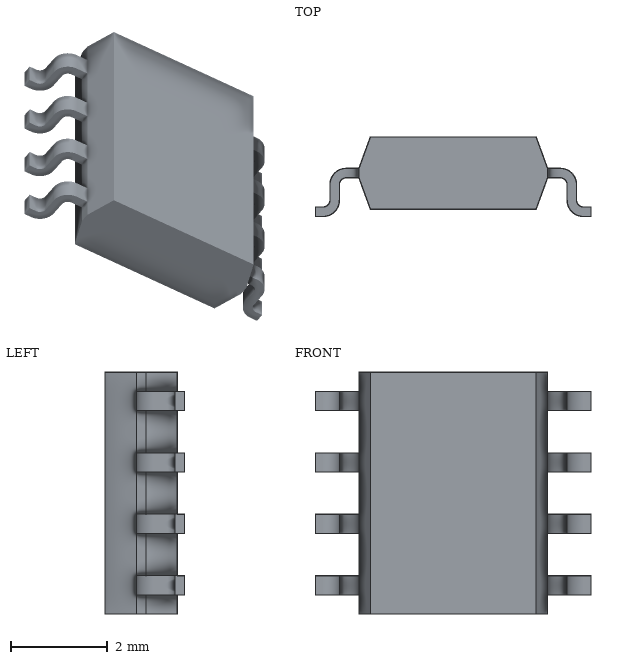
import cadquery as cq
import math


body_width = 3.9
body_depth = 1.5
body_height = 5.0
draft_angle = 20.0

lead_span = 5.7
lead_thickness = 0.2
lead_width = 0.4
lead_pitch = 1.27
leads_per_side = 4
standoff = 0.15
foot_length = 0.3
inner_bend_radius = 0.14

half_waist = body_width / 2
half_depth = body_depth / 2
half_thickness = lead_thickness / 2
draft_inset = (half_depth - half_thickness) * math.tan(math.radians(draft_angle))
half_face = half_waist - draft_inset
lead_tip_x = lead_span / 2
shank_outer_x = lead_tip_x - foot_length
shank_inner_x = shank_outer_x - lead_thickness
foot_bottom_y = -half_depth - standoff
foot_top_y = foot_bottom_y + lead_thickness
outer_bend_radius = inner_bend_radius + lead_thickness


def make_body():
    """Prism with a flat waist, as thick as the leads, and sloped sides."""
    outline = [
        (-half_face, -half_depth),
        (half_face, -half_depth),
        (half_waist, -half_thickness),
        (half_waist, half_thickness),
        (half_face, half_depth),
        (-half_face, half_depth),
        (-half_waist, half_thickness),
        (-half_waist, -half_thickness),
    ]
    return cq.Workplane("XY").polyline(outline).close().extrude(body_height / 2, both=True)


def make_lead():
    """Gull-wing lead on the +X side, centred on Z = 0."""
    outline = [
        (half_waist, half_thickness),
        (shank_outer_x, half_thickness),
        (shank_outer_x, foot_top_y),
        (lead_tip_x, foot_top_y),
        (lead_tip_x, foot_bottom_y),
        (shank_inner_x, foot_bottom_y),
        (shank_inner_x, -half_thickness),
        (half_waist, -half_thickness),
    ]
    outer_corners = [outline[1], outline[5]]
    inner_corners = [outline[2], outline[6]]
    lead = cq.Workplane("XY").polyline(outline).close().extrude(lead_width / 2, both=True)
    lead = round_corners(lead, outer_corners, outer_bend_radius)
    return round_corners(lead, inner_corners, inner_bend_radius)


def round_corners(solid, corners, radius):
    """Fillet the Z-parallel edges that pass through the given XY corners."""
    for x, y in corners:
        solid = solid.edges(cq.selectors.NearestToPointSelector((x, y, 0))).fillet(radius)
    return solid


right_lead = make_lead()
left_lead = right_lead.mirror("YZ")

result = make_body()
for index in range(leads_per_side):
    lead_z = (index - (leads_per_side - 1) / 2) * lead_pitch
    for lead in (right_lead, left_lead):
        result = result.union(lead.translate((0, 0, lead_z)))